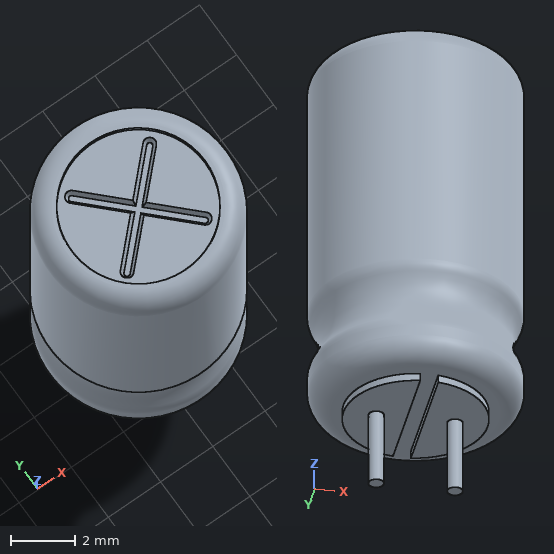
import cadquery as cq
import math

TOTAL_HEIGHT = 15
FOOT_BOTTOM = 2.5
CAN_BOTTOM = 2.76

CAN_RADIUS = 6.8 / 2
TOP_ROUND = 0.69
BOTTOM_ROUND = 0.74

WAIST_RADIUS = 3.06
WAIST_Z = 5.1
WAIST_HALF_HEIGHT = 1.2
BLEND_HEIGHT = 0.38

RIM_DIAMETER = 5.1
RECESS_DEPTH = 0.2
VENT_LENGTH = 4.65
VENT_WIDTH = 0.42
VENT_FLOOR_WIDTH = 0.2
VENT_DEPTH = 0.2
VENT_ANGLES = (45, 135)

FOOT_DIAMETER = 4.59
FOOT_GAP = 0.57
LEAD_DIAMETER = 0.5
LEAD_PITCH = 2.5


def make_can():
    """Revolved can; the waist arcs meet tangentially at the blend angle."""
    waist_depth = CAN_RADIUS - WAIST_RADIUS
    blend_angle = 2 * math.atan(waist_depth / WAIST_HALF_HEIGHT)
    blend_radius = BLEND_HEIGHT / math.sin(blend_angle)
    join_radius = CAN_RADIUS - blend_radius * (1 - math.cos(blend_angle))
    join_height = WAIST_HALF_HEIGHT - BLEND_HEIGHT

    profile = (
        cq.Workplane("XZ")
        .moveTo(0, CAN_BOTTOM)
        .lineTo(CAN_RADIUS - BOTTOM_ROUND, CAN_BOTTOM)
        .radiusArc((CAN_RADIUS, CAN_BOTTOM + BOTTOM_ROUND), -BOTTOM_ROUND)
        .lineTo(CAN_RADIUS, WAIST_Z - WAIST_HALF_HEIGHT)
        .radiusArc((join_radius, WAIST_Z - join_height), -blend_radius)
        .threePointArc((WAIST_RADIUS, WAIST_Z), (join_radius, WAIST_Z + join_height))
        .radiusArc((CAN_RADIUS, WAIST_Z + WAIST_HALF_HEIGHT), -blend_radius)
        .lineTo(CAN_RADIUS, TOTAL_HEIGHT - TOP_ROUND)
        .radiusArc((CAN_RADIUS - TOP_ROUND, TOTAL_HEIGHT), -TOP_ROUND)
        .lineTo(0, TOTAL_HEIGHT)
        .close()
    )
    return profile.revolve(360, (0, 0), (0, 1))


def make_foot():
    """Disc under the can, split into two segments by a gap along Y."""
    foot_height = CAN_BOTTOM - FOOT_BOTTOM
    disc = cq.Workplane("XY", origin=(0, 0, FOOT_BOTTOM)).circle(FOOT_DIAMETER / 2).extrude(foot_height)
    gap = (
        cq.Workplane("XY", origin=(0, 0, FOOT_BOTTOM))
        .rect(FOOT_GAP, FOOT_DIAMETER)
        .extrude(foot_height)
    )
    return disc.cut(gap)


def cut_top(housing):
    """Shallow round recess with a cross of tapered vent grooves in its floor."""
    floor_z = TOTAL_HEIGHT - RECESS_DEPTH
    recess = cq.Workplane("XY", origin=(0, 0, floor_z)).circle(RIM_DIAMETER / 2).extrude(RECESS_DEPTH)
    housing = housing.cut(recess)

    wall_run = (VENT_WIDTH - VENT_FLOOR_WIDTH) / 2
    draft = math.degrees(math.atan(wall_run / VENT_DEPTH))
    for angle in VENT_ANGLES:
        groove = (
            cq.Workplane("XY", origin=(0, 0, floor_z))
            .slot2D(VENT_LENGTH, VENT_WIDTH, angle)
            .extrude(-VENT_DEPTH, taper=draft)
        )
        housing = housing.cut(groove)
    return housing


def make_housing():
    return cut_top(make_can().union(make_foot()))


def make_lead(x):
    """Round lead that butts against the underside of the foot."""
    return cq.Workplane("XY").center(x, 0).circle(LEAD_DIAMETER / 2).extrude(FOOT_BOTTOM)


housing = make_housing()

leads = []
for side in (-1, 1):
    lead = make_lead(side * LEAD_PITCH / 2)
    leads.append(lead.val())

result = cq.Compound.makeCompound([housing.val(), *leads])